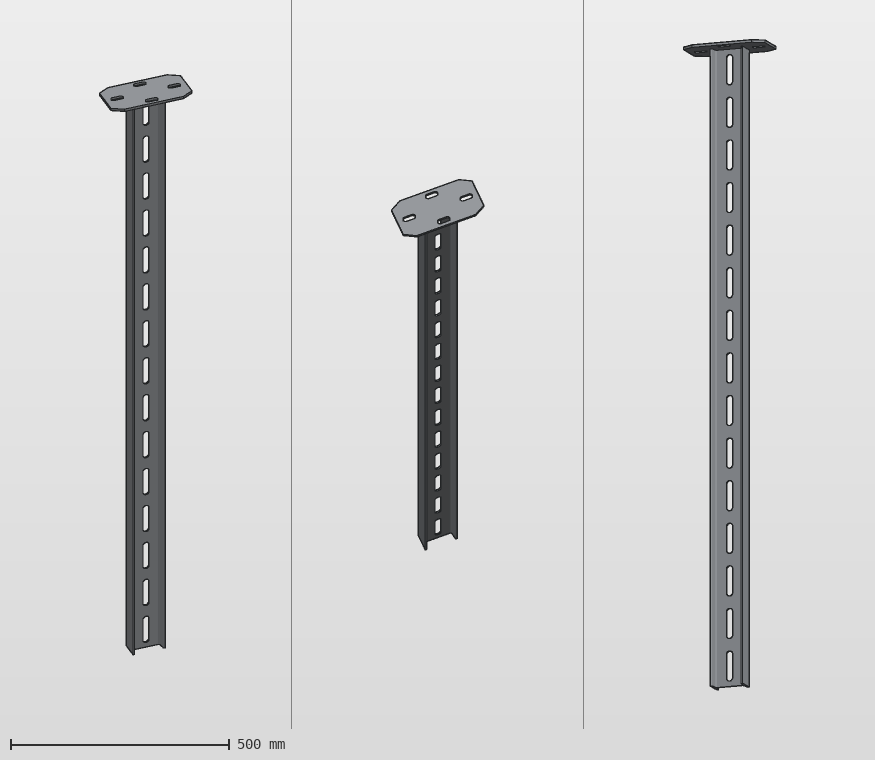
import cadquery as cq

total_height = 1502.0

plate_length = 200.0
plate_width = plate_length / 2
plate_thickness = 6.3
corner_cut_x = 15.0
corner_cut_y = 27.0
plate_slot_length = 30.0
plate_slot_width = 12.0
side_slot_offset = 36.0
end_slot_offset = 70.0

flange_width = 42.0
section_depth = 80.0
web_thickness = 3.9
flange_thickness = 5.9
flange_taper = 0.14
root_radius = web_thickness
tip_radius = 2.3
post_length = total_height - plate_thickness

web_slot_count = 15
web_slot_length = 70.0
web_slot_width = 15.0
lowest_slot_z = 48.0
highest_slot_z = 1448.0
web_slot_pitch = (highest_slot_z - lowest_slot_z) / (web_slot_count - 1)


def make_plate():
    """Flat head plate with four clipped corners and four slots running along Y."""
    half_x = plate_width / 2
    half_y = plate_length / 2
    right_corner = [(half_x, half_y - corner_cut_y), (half_x - corner_cut_x, half_y)]
    upper_half = right_corner + [(-x, y) for x, y in reversed(right_corner)]
    outline = upper_half + [(-x, -y) for x, y in upper_half]
    blank = cq.Workplane("XY", origin=(0, 0, post_length)).polyline(outline).close().extrude(plate_thickness)

    slot_centres = [
        (side_slot_offset, 0),
        (-side_slot_offset, 0),
        (0, end_slot_offset),
        (0, -end_slot_offset),
    ]
    slots = (
        cq.Workplane("XY", origin=(0, 0, post_length))
        .pushPoints(slot_centres)
        .slot2D(plate_slot_length, plate_slot_width, 90)
        .extrude(plate_thickness)
    )
    return blank.cut(slots)


def flange_inner_y(x):
    """Y of the tapered inner face of the +Y flange at a distance x from the middle of the web."""
    return section_depth / 2 - flange_thickness - flange_taper * (flange_width / 4 - x)


def fillet_corner_set(body, x, y, radius):
    """Round the four upright post edges at (+-x, +-y)."""
    points = [(side_x * x, side_y * y, post_length / 2) for side_x in (-1, 1) for side_y in (-1, 1)]
    edges = [body.edges(cq.selectors.NearestToPointSelector(point)).val() for point in points]
    return body.newObject(edges).fillet(radius)


def make_beam():
    """Plain I-section with rounded flange tips and web roots."""
    tip_x = flange_width / 2
    root_x = web_thickness / 2
    tip_y = flange_inner_y(tip_x)
    root_y = flange_inner_y(root_x)
    right_side = [(tip_x, section_depth / 2), (tip_x, tip_y), (root_x, root_y)]
    right_side += [(x, -y) for x, y in reversed(right_side)]
    outline = right_side + [(-x, -y) for x, y in right_side]
    beam = cq.Workplane("XY").polyline(outline).close().extrude(post_length)

    beam = fillet_corner_set(beam, root_x, root_y, root_radius)
    return fillet_corner_set(beam, tip_x, tip_y, tip_radius)


def make_post():
    """I-section post with the row of slots cut through its web."""
    slot_centres = [(0, lowest_slot_z + i * web_slot_pitch) for i in range(web_slot_count)]
    slots = (
        cq.Workplane("YZ")
        .pushPoints(slot_centres)
        .slot2D(web_slot_length, web_slot_width, 90)
        .extrude(web_thickness, both=True)
    )
    return make_beam().cut(slots)


plate = make_plate()
post = make_post()

result = cq.Compound.makeCompound([plate.val(), post.val()])